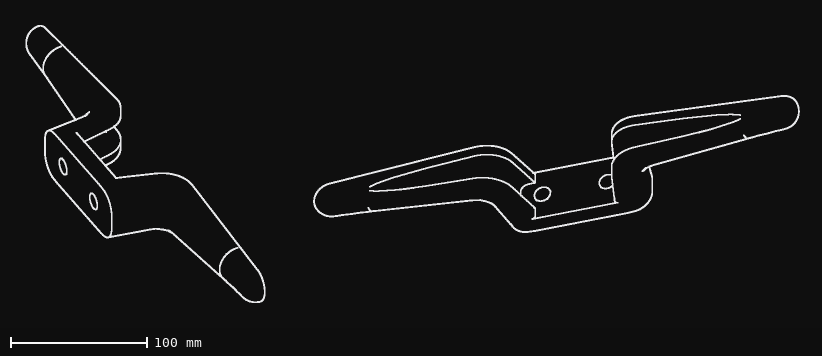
import cadquery as cq
import math

half_length = 187.5
total_depth = 63.0
base_height = 41.5
half_height = base_height / 2

plate_thickness = 15.0
base_half_length = 55.0
hole_diameter = 12.5
hole_offset = 25.0

taper_start = 35.0
tip_radius = 13.5
tip_center = half_length - tip_radius
taper_slope = (half_height - tip_radius) / (tip_center - taper_start)

leg_outer_corner = (61.0, 38.2)
leg_inner_foot = 30.7
back_corner = (43.0, 63.5)
tip_back_y = 60.7
tip_front_y = 45.5
inside_bend_radius = 10.5
outside_bend_radius = 24.5

front_radius = 15.0
rim_radius = 2.2

mid_arm = 105.0

round_end = taper_start + (half_height - front_radius) / taper_slope

channel_depth = 11.2
channel_floor_radius = 5.5
rim_width = 9.5

beyond_back = 2 * total_depth


def half_height_at(x):
    """Half height of the bar (along Z) at distance x from the middle."""
    return half_height - taper_slope * (x - taper_start)


def y_on_line(start, end, x):
    """Y at distance x on the straight line through two XY points."""
    share = (x - start[0]) / (end[0] - start[0])
    return start[1] + share * (end[1] - start[1])


def front_y(x):
    """Y of the front face of the arm."""
    return y_on_line(leg_outer_corner, (tip_center, tip_front_y), x)


def back_y(x):
    """Y of the back face of the arm."""
    return y_on_line(back_corner, (tip_center, tip_back_y), x)


def nearest(*points):
    """Selector for the edge closest to each of the points."""
    selector = cq.selectors.NearestToPointSelector(points[0])
    for point in points[1:]:
        selector = selector + cq.selectors.NearestToPointSelector(point)
    return selector


def on_both_sides(x, y, z):
    """The point and its mirror image below the XY plane."""
    return (x, y, z), (x, y, -z)


def tapered_block(inset):
    """Block along Y whose height follows the taper, inset from the bar's sides."""
    start_z = half_height - inset
    end_z = half_height_at(round_end) - inset
    return (
        cq.Workplane("XZ")
        .polyline([(0, -start_z), (taper_start, -start_z), (round_end, -end_z),
                   (round_end, end_z), (taper_start, start_z), (0, start_z)])
        .close()
        .extrude(-beyond_back)
    )


def bent_bar():
    """Half of the plate, with the leg and the arm up to the start of the tip."""
    bar = (
        cq.Workplane("XY")
        .polyline([(0, 0), (base_half_length, 0), leg_outer_corner,
                   (round_end, front_y(round_end)), (round_end, back_y(round_end)),
                   back_corner, (leg_inner_foot, plate_thickness), (0, plate_thickness)])
        .close()
        .extrude(half_height, both=True)
    )
    bar = bar.edges(nearest((*leg_outer_corner, 0))).fillet(inside_bend_radius)
    bar = bar.edges(nearest((*back_corner, 0))).fillet(outside_bend_radius)
    bar = bar.intersect(tapered_block(0))
    for point in on_both_sides(mid_arm, front_y(mid_arm), half_height_at(mid_arm)):
        bar = bar.edges(nearest(point)).fillet(front_radius)
    return bar


def arm_section(x):
    """D-shaped cross-section of the arm: flat back, half-round front."""
    radius = half_height_at(x)
    center_y = front_y(x) + radius
    return (
        cq.Workplane("YZ", origin=(x, 0, 0))
        .moveTo(back_y(x), -radius)
        .lineTo(center_y, -radius)
        .threePointArc((front_y(x), 0), (center_y, radius))
        .lineTo(back_y(x), radius)
        .close()
        .val()
    )


def tip():
    """Last stretch of the arm, closed by a round dome."""
    taper = cq.Workplane(cq.Solid.makeLoft([arm_section(round_end), arm_section(tip_center)], True))
    center_y = tip_front_y + tip_radius
    diagonal = tip_radius * math.sqrt(0.5)
    dome = (
        cq.Workplane("XY")
        .moveTo(tip_center, tip_back_y)
        .lineTo(half_length, tip_back_y)
        .lineTo(half_length, center_y)
        .threePointArc((tip_center + diagonal, center_y - diagonal), (tip_center, tip_front_y))
        .close()
        .revolve(360, (tip_center, 0, 0), (tip_center, 1, 0))
    )
    return taper.union(dome)


def channel():
    """Cutter for the channel: deepest at leg and bend, running out at the end of the arm."""
    floor_foot = (leg_inner_foot + channel_depth, plate_thickness)
    floor_corner = (back_corner[0] + channel_depth, back_corner[1] - channel_depth)
    cutter = (
        cq.Workplane("XY")
        .polyline([floor_foot, floor_corner, (round_end, back_y(round_end)),
                   (round_end, beyond_back), (0, beyond_back), (0, plate_thickness)])
        .close()
        .extrude(half_height, both=True)
    )
    cutter = cutter.edges(nearest((*floor_corner, 0))).fillet(outside_bend_radius - channel_depth)
    cutter = cutter.intersect(tapered_block(rim_width))
    floor_y = y_on_line(floor_corner, (round_end, back_y(round_end)), mid_arm)
    side_z = half_height_at(mid_arm) - rim_width
    return cutter.edges(nearest(*on_both_sides(mid_arm, floor_y, side_z))).fillet(channel_floor_radius)


def cleat_half():
    """The +X half: bar and tip with rounded back rim, hollowed by the channel."""
    half = bent_bar().union(tip())
    arm_rims = on_both_sides(mid_arm, back_y(mid_arm), half_height_at(mid_arm))
    half = half.edges(nearest((half_length, tip_back_y, 0), *arm_rims)).fillet(rim_radius)
    return half.cut(channel())


half = cleat_half()
holes = (
    cq.Workplane("XZ")
    .pushPoints([(-hole_offset, 0), (hole_offset, 0)])
    .circle(hole_diameter / 2)
    .extrude(-plate_thickness)
)
result = half.union(half.mirror("YZ")).cut(holes)